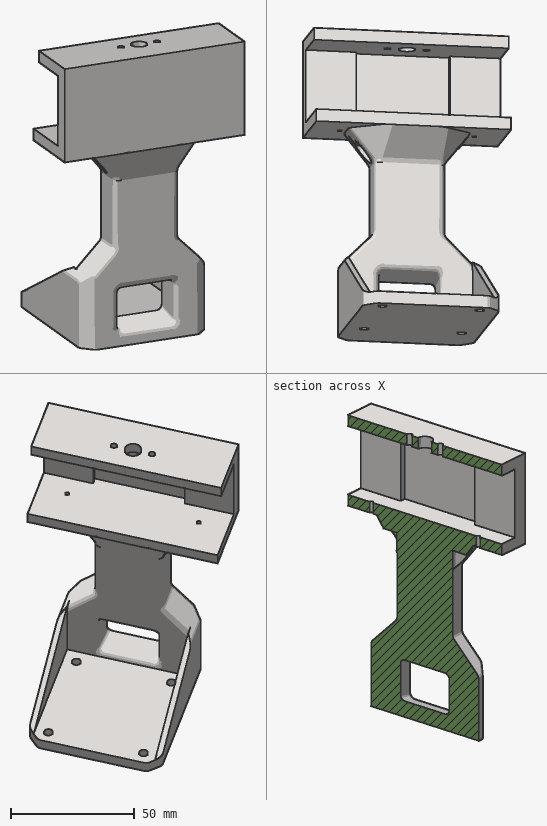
import cadquery as cq
import math

BASE_DEPTH = 65.9
BASE_WIDTH = 56.0
PLATE_THICKNESS = 5.0
SIDE_WALL = 2.5
PLAN_CHAMFER = 5.0
SLOPE_START_X = 3.0
SLOPE_END_Z = 31.0
BOLT_DIAMETER = 3.6
BOLT_PITCH = 40.0
BOLT_INSET = 5.0

COLUMN_DEPTH = 15.5
COLUMN_WIDTH = 29.0
SHOULDER_BOTTOM = 28.5
EDGE_RADIUS = 3.0

WINDOW_WIDTH = 25.0
WINDOW_BOTTOM = 8.55
WINDOW_TOP = 26.4
WINDOW_TILT = 10.0
WINDOW_CORNER_RADIUS = 2.0

HOLDER_LENGTH = 80.0
HOLDER_BACK = 73.0
HOLDER_BOTTOM = 85.0
HOLDER_TOP = 125.0
FLANGE_THICKNESS = 5.0
LOWER_FLANGE_DEPTH = 30.0
UPPER_FLANGE_DEPTH = 24.8
WEB_THICKNESS = 6.7
WEB_RECESS_WIDTH = 38.5
WEB_RECESS_DEPTH = 2.7
HOLDER_HOLE_X = HOLDER_BACK - LOWER_FLANGE_DEPTH / 2
SHAFT_DIAMETER = 6.76
SIDE_HOLE_DIAMETER = 2.5
SIDE_HOLE_OFFSET = 8.0
PILOT_DIAMETER = 1.62
PILOT_OFFSET = 27.7

NECK_WIDTH = 50.0
NECK_BOTTOM = 72.0
NECK_CHAMFER_X = 9.0
NECK_CHAMFER_Y = 13.1
NECK_FRONT_BLEND = 3.2
NECK_SIDE_BLEND = 1.6
BEVEL_HALF_ANGLE = 2.0

ACCESS_DIAMETER = 6.76
ACCESS_OFFSET = 18.1
ACCESS_TOP = 80.0
CONE_TOP_RADIUS = 7.0

MARGIN = 1.0

COLUMN_FRONT = BASE_DEPTH - COLUMN_DEPTH
COLUMN_CENTER = BASE_DEPTH - COLUMN_DEPTH / 2
SHOULDER_TOP = SHOULDER_BOTTOM + (BASE_WIDTH - COLUMN_WIDTH) / 2
FLARE_GROWTH = (NECK_WIDTH - COLUMN_WIDTH) / 2
FLARE_ANGLE = math.atan2(FLARE_GROWTH, HOLDER_BOTTOM - NECK_BOTTOM)
COLUMN_TOP = NECK_BOTTOM - EDGE_RADIUS * math.tan(FLARE_ANGLE / 2)


def box(x_range, y_range, z_range):
    """Axis-aligned block between the given limits."""
    sizes = [high - low for low, high in (x_range, y_range, z_range)]
    corner = (x_range[0], y_range[0], z_range[0])
    return cq.Workplane("XY").box(*sizes, centered=False).translate(corner)


def cylinder(diameter, x, y, z_range):
    """Vertical cylinder between two heights."""
    plane = cq.Workplane("XY", origin=(x, y, z_range[0]))
    return plane.circle(diameter / 2).extrude(z_range[1] - z_range[0])


def shoulder_prism():
    """Width profile of base, shoulders and column, run along X."""
    half_base = BASE_WIDTH / 2
    half_column = COLUMN_WIDTH / 2
    right = [(half_base, 0), (half_base, SHOULDER_BOTTOM),
             (half_column, SHOULDER_TOP), (half_column, COLUMN_TOP)]
    left = [(-y, z) for y, z in reversed(right)]
    return cq.Workplane("YZ").polyline(right + left).close().extrude(BASE_DEPTH)


def plan_prism():
    """Base outline with bevelled corners, run along Z."""
    prism = cq.Workplane("XY").rect(BASE_DEPTH, BASE_WIDTH).extrude(COLUMN_TOP)
    return prism.edges("|Z").chamfer(PLAN_CHAMFER).translate((BASE_DEPTH / 2, 0, 0))


def column():
    """Column with shoulders, every edge rounded except at its two ends."""
    depth = (COLUMN_FRONT, BASE_DEPTH)
    body = shoulder_prism().intersect(plan_prism())
    body = body.intersect(box(depth, (-BASE_WIDTH, BASE_WIDTH), (0, COLUMN_TOP)))
    between_ends = cq.selectors.BoxSelector(
        (COLUMN_FRONT - MARGIN, -BASE_WIDTH, MARGIN),
        (BASE_DEPTH + MARGIN, BASE_WIDTH, COLUMN_TOP - MARGIN))
    return body.edges(between_ends).fillet(EDGE_RADIUS)


def slope_prism():
    """Depth profile of the plate edge and the sloped side walls, run along Y."""
    wall_back = COLUMN_FRONT + EDGE_RADIUS
    slope = (SLOPE_END_Z - PLATE_THICKNESS) / (COLUMN_FRONT - SLOPE_START_X)
    wall_top = SLOPE_END_Z + slope * EDGE_RADIUS
    points = [(0, 0), (wall_back, 0), (wall_back, wall_top),
              (SLOPE_START_X, PLATE_THICKNESS), (0, PLATE_THICKNESS)]
    return cq.Workplane("XZ").polyline(points).close().extrude(BASE_WIDTH / 2, both=True)


def base():
    """Plate and side walls; the walls run back over the rounded column edges."""
    shoulders = shoulder_prism()
    at_shoulders = cq.selectors.BoxSelector(
        (-MARGIN, -BASE_WIDTH, SHOULDER_BOTTOM - MARGIN),
        (BASE_DEPTH + MARGIN, BASE_WIDTH, SHOULDER_TOP + MARGIN))
    shoulders = shoulders.edges("|X").edges(at_shoulders).fillet(EDGE_RADIUS)
    outline = plan_prism().edges("|Z").fillet(EDGE_RADIUS)
    body = shoulders.intersect(outline).intersect(slope_prism())
    half_inside = BASE_WIDTH / 2 - SIDE_WALL
    return body.cut(box((0, BASE_DEPTH), (-half_inside, half_inside), (PLATE_THICKNESS, COLUMN_TOP)))


def window_cutter():
    """Rectangular window with rounded corners, tilted down towards the back."""
    drop = COLUMN_DEPTH * math.tan(math.radians(WINDOW_TILT))
    points = [(COLUMN_FRONT, WINDOW_BOTTOM), (BASE_DEPTH, WINDOW_BOTTOM - drop),
              (BASE_DEPTH, WINDOW_TOP - drop), (COLUMN_FRONT, WINDOW_TOP)]
    cutter = cq.Workplane("XZ").polyline(points).close().extrude(WINDOW_WIDTH / 2, both=True)
    return cutter.edges("(not |Y) and (not |Z)").fillet(WINDOW_CORNER_RADIUS)


def column_with_window():
    """Column pierced by the window, with the window rims rounded front and back."""
    body = column().cut(window_cutter())
    half_width = WINDOW_WIDTH / 2 + MARGIN
    around_window = cq.selectors.BoxSelector(
        (COLUMN_FRONT - MARGIN, -half_width, MARGIN),
        (BASE_DEPTH + MARGIN, half_width, WINDOW_TOP + MARGIN))
    rims = body.faces("<X or >X").edges(around_window)
    return rims.fillet(EDGE_RADIUS)


def column_corner():
    """Corner points of the column section, its round corner split at the neck bevel."""
    bevel_normal = math.degrees(math.atan2(NECK_CHAMFER_X, NECK_CHAMFER_Y))
    angles = (0, bevel_normal - BEVEL_HALF_ANGLE, bevel_normal + BEVEL_HALF_ANGLE, 90)
    center_x = COLUMN_DEPTH / 2 - EDGE_RADIUS
    center_y = COLUMN_WIDTH / 2 - EDGE_RADIUS
    return [(center_x + EDGE_RADIUS * math.cos(math.radians(angle)),
             center_y + EDGE_RADIUS * math.sin(math.radians(angle))) for angle in angles]


def holder_corner():
    """Corner points of the neck at the holder: a bevel blended into both adjoining faces."""
    half_x = LOWER_FLANGE_DEPTH / 2
    half_y = NECK_WIDTH / 2
    length = math.hypot(NECK_CHAMFER_X, NECK_CHAMFER_Y)
    step_x = NECK_CHAMFER_X / length
    step_y = NECK_CHAMFER_Y / length
    front_y = half_y - NECK_CHAMFER_Y
    side_x = half_x - NECK_CHAMFER_X
    return [(half_x, front_y - NECK_FRONT_BLEND),
            (half_x - NECK_FRONT_BLEND * step_x, front_y + NECK_FRONT_BLEND * step_y),
            (side_x + NECK_SIDE_BLEND * step_x, half_y - NECK_SIDE_BLEND * step_y),
            (side_x - NECK_SIDE_BLEND, half_y)]


def neck_section(fraction, z):
    """Section wire a given fraction of the way from the column outline to the holder outline."""
    pairs = zip(column_corner(), holder_corner())
    corner = [(low_x + fraction * (high_x - low_x), low_y + fraction * (high_y - low_y))
              for (low_x, low_y), (high_x, high_y) in pairs]
    center_x = COLUMN_CENTER + fraction * (HOLDER_HOLE_X - COLUMN_CENTER)
    loop = []
    for sign_x, sign_y in ((1, 1), (-1, 1), (-1, -1), (1, -1)):
        points = corner if sign_x == sign_y else corner[::-1]
        loop.append([(sign_x * x, sign_y * y) for x, y in points])
    sketch = cq.Workplane("XY", origin=(center_x, 0, z)).moveTo(*loop[-1][-1])
    for first, second, third, fourth in loop:
        sketch = sketch.lineTo(*first).tangentArcPoint(second, relative=False)
        sketch = sketch.lineTo(*third).tangentArcPoint(fourth, relative=False)
    return sketch.close().val()


def flare():
    """Neck from column to holder, with a rounded bend where it leaves the column."""
    bend = []
    for turn in (0, FLARE_ANGLE / 2, FLARE_ANGLE):
        fraction = EDGE_RADIUS * (1 - math.cos(turn)) / FLARE_GROWTH
        bend.append(neck_section(fraction, COLUMN_TOP + EDGE_RADIUS * math.sin(turn)))
    lower = cq.Workplane(cq.Solid.makeLoft(bend))
    upper = cq.Workplane(cq.Solid.makeLoft([bend[-1], neck_section(1, HOLDER_BOTTOM)], True))
    return lower.union(upper)


def neck():
    """Flare with an access hole and its cone on each Y face."""
    body = flare()
    for side in (-1, 1):
        y = side * ACCESS_OFFSET
        body = body.cut(cylinder(ACCESS_DIAMETER, HOLDER_HOLE_X, y, (0, ACCESS_TOP)))
        cone = cq.Solid.makeCone(ACCESS_DIAMETER / 2, CONE_TOP_RADIUS, HOLDER_BOTTOM - ACCESS_TOP)
        body = body.union(cq.Workplane(cone).translate((HOLDER_HOLE_X, y, ACCESS_TOP)))
    return body


def stand():
    """Base plate, side walls and column as one body, with the bolt holes."""
    body = column_with_window().union(base())
    for x in (BOLT_INSET, BOLT_INSET + BOLT_PITCH):
        for y in (-BOLT_PITCH / 2, BOLT_PITCH / 2):
            body = body.cut(cylinder(BOLT_DIAMETER, x, y, (0, PLATE_THICKNESS)))
    return body


def holder():
    """C-shaped holder with a recessed web and its holes."""
    half_length = HOLDER_LENGTH / 2
    along = (-half_length, half_length)
    floor_z = HOLDER_BOTTOM + FLANGE_THICKNESS
    ceiling_z = HOLDER_TOP - FLANGE_THICKNESS
    web_front = HOLDER_BACK - WEB_THICKNESS
    body = box((HOLDER_BACK - LOWER_FLANGE_DEPTH, HOLDER_BACK), along, (HOLDER_BOTTOM, floor_z))
    body = body.union(box((HOLDER_BACK - UPPER_FLANGE_DEPTH, HOLDER_BACK), along, (ceiling_z, HOLDER_TOP)))
    body = body.union(box((web_front, HOLDER_BACK), along, (floor_z, ceiling_z)))
    half_recess = WEB_RECESS_WIDTH / 2
    body = body.cut(box((web_front, web_front + WEB_RECESS_DEPTH), (-half_recess, half_recess),
                        (floor_z, ceiling_z)))
    upper = (ceiling_z, HOLDER_TOP)
    body = body.cut(cylinder(SHAFT_DIAMETER, HOLDER_HOLE_X, 0, upper))
    for side in (-1, 1):
        body = body.cut(cylinder(SIDE_HOLE_DIAMETER, HOLDER_HOLE_X, side * SIDE_HOLE_OFFSET, upper))
        body = body.cut(cylinder(PILOT_DIAMETER, HOLDER_HOLE_X, side * PILOT_OFFSET,
                                 (HOLDER_BOTTOM, floor_z)))
    return body


result = stand().union(neck()).union(holder())